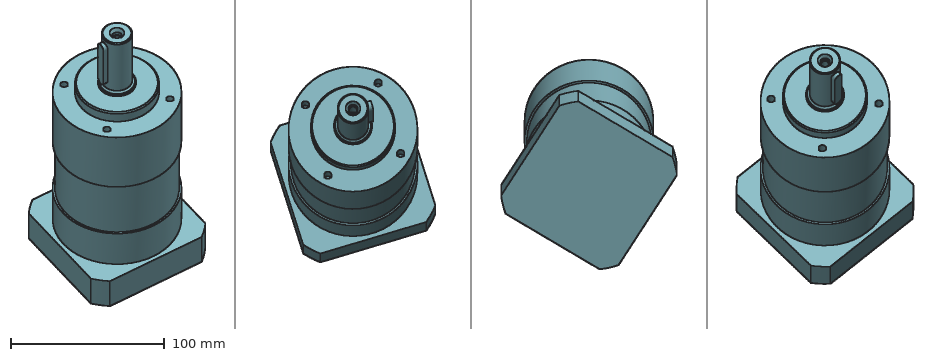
import cadquery as cq
import math

plate_width = 90.0
plate_corner_diameter = 115.3
plate_top = 23.2

housing_diameter = 84.0
ring_gear_diameter = 81.0
lower_housing_top = 51.5
ring_gear_top = 94.7
housing_top = 140.5

pilot_diameter = 55.0
pilot_top = 148.6
pilot_chamfer = 1.0
collar_diameter = 25.0
collar_top = 150.0
collar_chamfer = 0.5

shaft_diameter = 20.0
shaft_top = 194.8
shaft_chamfer = 0.8
shaft_flare_width = 1.5
shaft_flare_height = 1.4

key_width = 6.5
key_length = 36.0
key_top = 191.1
key_face_distance = 12.9
key_seat_distance = 6.0

centre_mouth_diameter = 9.5
centre_relief_diameter = 6.5
centre_relief_depth = 5.0
centre_cone_angle = 60.0
centre_bore_diameter = 4.9
centre_bore_depth = 19.5

mount_hole_diameter = 4.9
mount_hole_depth = 11.7
mount_circle_diameter = 70.1
mount_hole_count = 4

drill_point_angle = 118.0


def cylinder(diameter, bottom, top):
    return cq.Workplane("XY").workplane(offset=bottom).circle(diameter / 2).extrude(top - bottom)


def cone_height(radius_change, included_angle):
    return radius_change / math.tan(math.radians(included_angle / 2))


def drilled_hole(diameter, top, depth):
    """Cutter for a blind hole on the Z axis, ending in a drill point."""
    radius = diameter / 2
    bottom = top - depth
    point = bottom - cone_height(radius, drill_point_angle)
    profile = [(0, top), (radius, top), (radius, bottom), (0, point)]
    return cq.Workplane("XZ").polyline(profile).close().revolve(360, (0, 0), (0, 1))


def make_plate():
    square = cq.Workplane("XY").rect(plate_width, plate_width).extrude(plate_top)
    return square.intersect(cylinder(plate_corner_diameter, 0, plate_top))


def make_housing():
    lower = cylinder(housing_diameter, plate_top, lower_housing_top)
    ring_gear = cylinder(ring_gear_diameter, lower_housing_top, ring_gear_top)
    upper = cylinder(housing_diameter, ring_gear_top, housing_top)
    pilot = cylinder(pilot_diameter, housing_top, pilot_top).faces(">Z").chamfer(pilot_chamfer)
    collar = cylinder(collar_diameter, pilot_top, collar_top).faces(">Z").chamfer(collar_chamfer)
    return lower.union(ring_gear).union(upper).union(pilot).union(collar)


def make_shaft():
    shaft = cylinder(shaft_diameter, collar_top, shaft_top).faces(">Z").chamfer(shaft_chamfer)
    radius = shaft_diameter / 2
    flare_profile = [
        (0, collar_top),
        (radius + shaft_flare_width, collar_top),
        (radius, collar_top + shaft_flare_height),
        (0, collar_top + shaft_flare_height),
    ]
    flare = cq.Workplane("XZ").polyline(flare_profile).close().revolve(360, (0, 0), (0, 1))
    return shaft.union(flare)


def make_key():
    return (
        cq.Workplane("XZ", origin=(0, -key_seat_distance, key_top - key_length / 2))
        .slot2D(key_length, key_width, 90)
        .extrude(key_face_distance - key_seat_distance)
    )


def make_centre_hole():
    mouth_radius = centre_mouth_diameter / 2
    relief_radius = centre_relief_diameter / 2
    cone_bottom = shaft_top - cone_height(mouth_radius - relief_radius, centre_cone_angle)
    relief_bottom = shaft_top - centre_relief_depth
    profile = [
        (0, shaft_top),
        (mouth_radius, shaft_top),
        (relief_radius, cone_bottom),
        (relief_radius, relief_bottom),
        (0, relief_bottom),
    ]
    mouth = cq.Workplane("XZ").polyline(profile).close().revolve(360, (0, 0), (0, 1))
    return mouth.union(drilled_hole(centre_bore_diameter, shaft_top, centre_bore_depth))


result = make_plate().union(make_housing()).union(make_shaft()).union(make_key())
result = result.cut(make_centre_hole())

mount_hole = drilled_hole(mount_hole_diameter, housing_top, mount_hole_depth)
hole_spacing_angle = 360 / mount_hole_count
for index in range(mount_hole_count):
    angle = hole_spacing_angle * (index + 0.5)
    placed_hole = mount_hole.translate((mount_circle_diameter / 2, 0, 0)).rotate((0, 0, 0), (0, 0, 1), angle)
    result = result.cut(placed_hole)